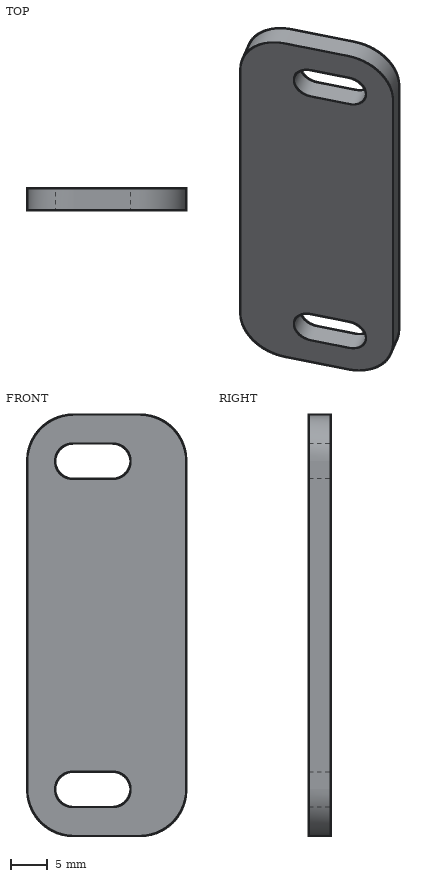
import cadquery as cq

plate_width = 21.6
plate_thickness = 3.05
plate_height = 57.15
corner_radius = 6.35

slot_length = 10.2
slot_width = 4.75
slot_offset_x = -1.9
slot_offset_z = plate_height / 2 - corner_radius


def make_plate():
    """Flat plate with its four corners rounded."""
    plate = cq.Workplane("XY").box(plate_width, plate_thickness, plate_height)
    return plate.edges("|Y").fillet(corner_radius)


def make_slots():
    """Cutters for the two round-ended slots, through the full thickness."""
    return (
        cq.Workplane("XZ")
        .pushPoints([(slot_offset_x, side * slot_offset_z) for side in (-1, 1)])
        .slot2D(slot_length, slot_width)
        .extrude(plate_thickness, both=True)
    )


result = make_plate().cut(make_slots())